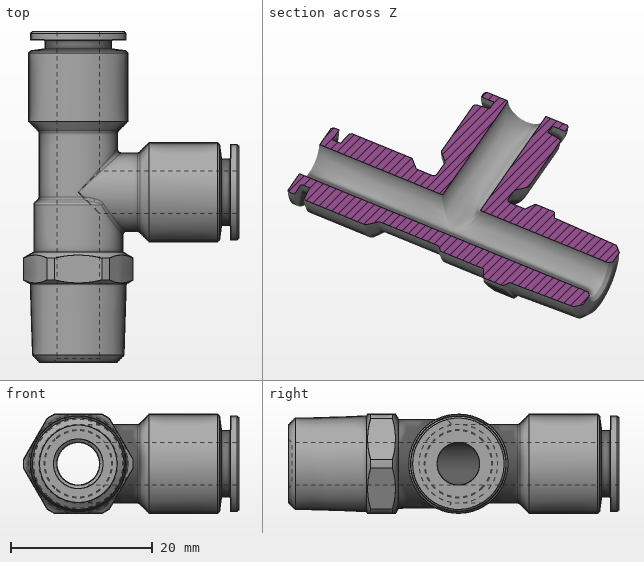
import cadquery as cq
import math

port_reach = 22.7
thread_end = -24.0

neck_radius = 5.55
body_radius = 7.0
body_start = 10.0
body_edge_start = 19.65
body_edge_chamfer = 0.3
body_face = 20.22
sleeve_radius = 4.7
flange_radius = 6.75
flange_thickness = 1.2
flange_chamfer = 0.3
flange_root_chamfer = 0.12
shoulder_angle = 45.0
shoulder_blend = 0.5

stem_radius = 6.28
stem_blend_start = -0.7
stem_blend_radius = 0.55
stem_step_angle = 50.0
hex_top = -8.45
hex_bottom = -12.95
hex_sides = 6
hex_flats = 14.0
hex_corner_radius = 7.75
hex_chamfer_angle = 30.0
thread_tip_radius = 6.46
thread_taper = 1 / 32
thread_chamfer = 1.0
thread_edge = thread_end + thread_chamfer
thread_root_radius = thread_tip_radius + (hex_bottom - thread_edge) * thread_taper

bore_radius = 3.0
bore_chamfer = 0.5

crotch_fillet = 0.5
joint_margin = 0.5


def port():
    """Solid push-in port around +Y, from the crossing to the sleeve face."""
    shoulder_slope = math.radians(shoulder_angle)
    shoulder_foot = body_start - (body_radius - neck_radius) / math.tan(shoulder_slope)
    flange_back = port_reach - flange_thickness
    body_edge_end = body_edge_start + body_edge_chamfer
    blend_setback = shoulder_blend * math.tan(shoulder_slope / 2)
    blend_end = (
        neck_radius + blend_setback * math.sin(shoulder_slope),
        shoulder_foot + blend_setback * math.cos(shoulder_slope),
    )
    profile = (
        cq.Workplane("XY")
        .lineTo(neck_radius, 0)
        .lineTo(neck_radius, shoulder_foot - blend_setback)
        .tangentArcPoint(blend_end, relative=False)
        .lineTo(body_radius, body_start)
        .lineTo(body_radius, body_edge_start)
        .lineTo(body_radius - body_edge_chamfer, body_edge_end)
        .lineTo(sleeve_radius, body_face)
        .lineTo(sleeve_radius, flange_back - flange_root_chamfer)
        .lineTo(sleeve_radius + flange_root_chamfer, flange_back)
        .lineTo(flange_radius, flange_back)
        .lineTo(flange_radius, port_reach - flange_chamfer)
        .lineTo(flange_radius - flange_chamfer, port_reach)
        .lineTo(0, port_reach)
        .close()
    )
    return profile.revolve(360, (0, 0, 0), (0, 1, 0))


def stem():
    """Neck, stem and tapered thread blank around -Y."""
    step_angle = math.radians(stem_step_angle)
    blend_length = stem_blend_radius * math.sin(step_angle)
    blend_rise = stem_blend_radius * (1 - math.cos(step_angle))
    cone_foot_radius = neck_radius + blend_rise
    cone_top_radius = stem_radius - blend_rise
    cone_foot = stem_blend_start - blend_length
    cone_top = cone_foot - (cone_top_radius - cone_foot_radius) / math.tan(step_angle)
    stem_start = cone_top - blend_length
    profile = (
        cq.Workplane("XY")
        .lineTo(neck_radius, 0)
        .lineTo(neck_radius, stem_blend_start)
        .tangentArcPoint((cone_foot_radius, cone_foot), relative=False)
        .lineTo(cone_top_radius, cone_top)
        .tangentArcPoint((stem_radius, stem_start), relative=False)
        .lineTo(stem_radius, hex_bottom)
        .lineTo(thread_root_radius, hex_bottom)
        .lineTo(thread_tip_radius, thread_edge)
        .lineTo(thread_tip_radius - thread_chamfer, thread_end)
        .lineTo(0, thread_end)
        .close()
    )
    return profile.revolve(360, (0, 0, 0), (0, 1, 0))


def hexagon():
    """Wrench hexagon with turned corners and conical edges on both ends."""
    slope = math.tan(math.radians(hex_chamfer_angle))
    top_corner = hex_top - (hex_corner_radius - stem_radius) * slope
    bottom_corner = hex_bottom + (hex_corner_radius - thread_root_radius) * slope
    turned = (
        cq.Workplane("XY")
        .moveTo(0, hex_top)
        .lineTo(stem_radius, hex_top)
        .lineTo(hex_corner_radius, top_corner)
        .lineTo(hex_corner_radius, bottom_corner)
        .lineTo(thread_root_radius, hex_bottom)
        .lineTo(0, hex_bottom)
        .close()
        .revolve(360, (0, 0, 0), (0, 1, 0))
    )
    prism = (
        cq.Workplane("XZ", origin=(0, hex_top, 0))
        .polygon(hex_sides, hex_flats / math.cos(math.pi / hex_sides))
        .extrude(hex_top - hex_bottom)
    )
    return turned.intersect(prism)


def tee_body():
    """Run and branch joined, with the crotch between them rounded."""
    run = port().union(stem())
    branch = port().rotate((0, 0, 0), (0, 0, 1), -90)
    joint_reach = stem_radius + joint_margin
    joint = cq.selectors.BoxSelector(
        (-joint_margin, -joint_reach, -joint_reach),
        (joint_reach, joint_reach, joint_reach),
        boundingbox=True,
    )
    return run.union(branch).edges(joint).fillet(crotch_fillet)


def passage():
    """Through bore of the run, chamfered at the thread, with a side bore along the branch."""
    run_profile = (
        cq.Workplane("XY")
        .moveTo(0, thread_end)
        .lineTo(bore_radius + bore_chamfer, thread_end)
        .lineTo(bore_radius, thread_end + bore_chamfer)
        .lineTo(bore_radius, port_reach)
        .lineTo(0, port_reach)
        .close()
    )
    run_bore = run_profile.revolve(360, (0, 0, 0), (0, 1, 0))
    branch_bore = cq.Workplane("YZ").circle(bore_radius).extrude(port_reach)
    return run_bore.union(branch_bore)


result = tee_body().union(hexagon()).cut(passage())